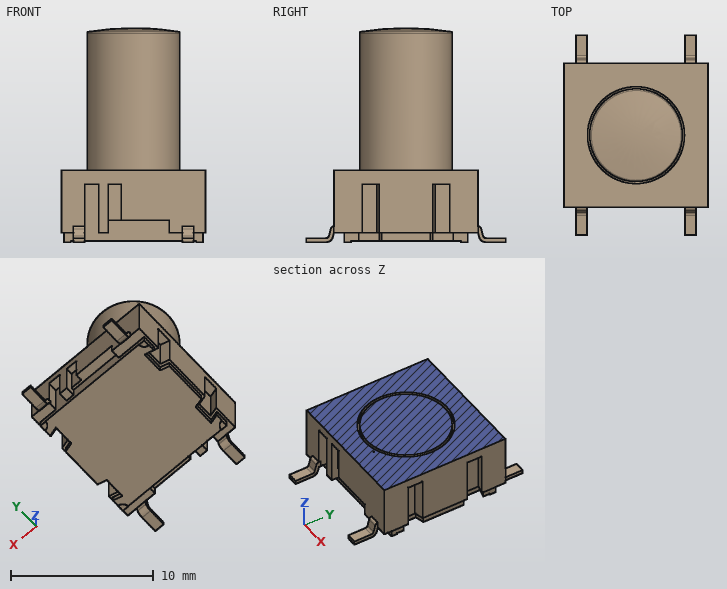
import cadquery as cq
import math

TOTAL_HEIGHT = 15.0

BODY_SIDE = 10.1
BODY_BOTTOM = 0.66
BODY_TOP = 5.05

BASE_X = 9.75
BASE_Y = 8.67
FOOT_HEIGHT = 0.08
FOOT_RADIUS = 0.5
BASE_SLOT_INNER_Y = 1.68
BASE_SLOT_WIDTH = 1.62

BUTTON_DIAMETER = 6.5
HOLE_DIAMETER = 6.8
HOLE_DEPTH = 0.6
DOME_HEIGHT = 0.25
BUTTON_EDGE_ROUND = 0.1

RECESS_TOP = 4.06
DEEP_SLOT_X = (-3.42, -2.42)
WIDE_POCKET_X = (-1.75, 2.49)
WIDE_POCKET_TOP = 1.56
SHALLOW_SLOT_X = (WIDE_POCKET_X[0], -0.85)
SHALLOW_SLOT_DEPTH = 0.51

SIDE_SLOT_INNER_Y = 1.86
SIDE_SLOT_WIDTH = 1.18
SIDE_SLOT_DEPTH = 0.7
SIDE_SLOT_SLANT = 15.0

LEAD_SPACING = 7.62
LEAD_WIDTH = 0.8
LEAD_THICKNESS = 0.3
LEAD_SPAN = 14.0
LEAD_SLANT = 15.0
LEAD_BEND_RADIUS = 0.2
LEAD_SHOULDER_RADIUS = 0.22
LEAD_SHOULDER_CENTRE_Z = 0.9
LEAD_EMBED = 0.15

BODY_HALF = BODY_SIDE / 2
LEAD_SIDE_DEPTH = (BODY_SIDE - BASE_Y) / 2
HALF_TURN = 180


def box(x_range, y_range, z_range):
    """Axis-aligned box given by its limits along each axis."""
    size = [limits[1] - limits[0] for limits in (x_range, y_range, z_range)]
    corner = (x_range[0], y_range[0], z_range[0])
    return cq.Workplane("XY").box(*size, centered=False).translate(corner)


def both_sides(shape):
    """The shape together with its copy turned half a turn about Z."""
    return shape.union(shape.rotate((0, 0, 0), (0, 0, 1), HALF_TURN))


def lead_side_recess(x_range, depth, top):
    """Recess cut into the -Y face of the housing, open at the bottom."""
    return box(x_range, (-BODY_HALF, depth - BODY_HALF), (BODY_BOTTOM, top))


def side_slots(face, inner_y, width, bottom, top):
    """Pair of slots in the -X side that slant outward as they go in."""
    shift = SIDE_SLOT_DEPTH * math.tan(math.radians(SIDE_SLOT_SLANT))
    outer_y = inner_y + width
    floor = SIDE_SLOT_DEPTH - face
    slot = (
        cq.Workplane("XY", origin=(0, 0, bottom))
        .polyline([(-face, inner_y), (-face, outer_y), (floor, outer_y + shift), (floor, inner_y + shift)])
        .close()
        .extrude(top - bottom)
    )
    return slot.union(slot.mirror("XZ"))


def make_body():
    limits = (-BODY_HALF, BODY_HALF)
    body = box(limits, limits, (BODY_BOTTOM, BODY_TOP))
    recesses = (
        lead_side_recess(DEEP_SLOT_X, LEAD_SIDE_DEPTH, RECESS_TOP)
        .union(lead_side_recess(SHALLOW_SLOT_X, SHALLOW_SLOT_DEPTH, RECESS_TOP))
        .union(lead_side_recess(WIDE_POCKET_X, LEAD_SIDE_DEPTH, WIDE_POCKET_TOP))
        .union(side_slots(BODY_HALF, SIDE_SLOT_INNER_Y, SIDE_SLOT_WIDTH, BODY_BOTTOM, RECESS_TOP))
    )
    hole = (
        cq.Workplane("XY", origin=(0, 0, BODY_TOP - HOLE_DEPTH))
        .circle(HOLE_DIAMETER / 2)
        .extrude(HOLE_DEPTH)
    )
    return body.cut(both_sides(recesses)).cut(hole)


def make_base():
    half_x = BASE_X / 2
    half_y = BASE_Y / 2
    base = box((-half_x, half_x), (-half_y, half_y), (0, BODY_BOTTOM))

    feet = (
        cq.Workplane("XY")
        .rect(BASE_X, BASE_Y, forConstruction=True)
        .vertices()
        .circle(FOOT_RADIUS)
        .extrude(FOOT_HEIGHT)
    )
    relief = box((-half_x, half_x), (-half_y, half_y), (0, FOOT_HEIGHT)).cut(feet)

    slots = side_slots(half_x, BASE_SLOT_INNER_Y, BASE_SLOT_WIDTH, 0, BODY_BOTTOM)
    return base.cut(relief).cut(both_sides(slots))


def make_button():
    radius = BUTTON_DIAMETER / 2
    dome_radius = radius - BUTTON_EDGE_ROUND
    dome_edge_z = TOTAL_HEIGHT - DOME_HEIGHT
    sphere_radius = (dome_radius**2 + DOME_HEIGHT**2) / (2 * DOME_HEIGHT)
    dome_mid_x = dome_radius / 2
    dome_mid_z = TOTAL_HEIGHT - sphere_radius + math.sqrt(sphere_radius**2 - dome_mid_x**2)
    floor = BODY_TOP - HOLE_DEPTH
    return (
        cq.Workplane("XZ")
        .moveTo(0, floor)
        .lineTo(radius, floor)
        .lineTo(radius, dome_edge_z - BUTTON_EDGE_ROUND)
        .radiusArc((dome_radius, dome_edge_z), -BUTTON_EDGE_ROUND)
        .threePointArc((dome_mid_x, dome_mid_z), (0, TOTAL_HEIGHT))
        .close()
        .revolve(axisStart=(0, 0), axisEnd=(0, 1))
    )


def make_lead():
    """Lead on the +Y side: flat foot, slanted riser and rounded shoulder."""
    cos_slant = math.cos(math.radians(LEAD_SLANT))
    sin_slant = math.sin(math.radians(LEAD_SLANT))
    tip = LEAD_SPAN / 2
    outer_radius = LEAD_BEND_RADIUS + LEAD_THICKNESS
    shoulder_top = LEAD_SHOULDER_CENTRE_Z + LEAD_SHOULDER_RADIUS

    bend_z = outer_radius
    rise = LEAD_SHOULDER_CENTRE_Z - bend_z
    bend_y = BODY_HALF + (LEAD_SHOULDER_RADIUS + LEAD_BEND_RADIUS + rise * sin_slant) / cos_slant

    def bend_point(radius):
        return (bend_y - radius * cos_slant, bend_z - radius * sin_slant)

    shoulder_end = (
        BODY_HALF + LEAD_SHOULDER_RADIUS * cos_slant,
        LEAD_SHOULDER_CENTRE_Z + LEAD_SHOULDER_RADIUS * sin_slant,
    )
    riser_y, riser_z = bend_point(outer_radius)
    riser_meets_body = riser_y - (BODY_BOTTOM - riser_z) * sin_slant / cos_slant
    embedded_y = BODY_HALF - LEAD_EMBED
    return (
        cq.Workplane("YZ", origin=(-LEAD_WIDTH / 2, 0, 0))
        .moveTo(bend_y, 0)
        .lineTo(tip, 0)
        .lineTo(tip, LEAD_THICKNESS)
        .lineTo(bend_y, LEAD_THICKNESS)
        .radiusArc(bend_point(LEAD_BEND_RADIUS), LEAD_BEND_RADIUS)
        .lineTo(*shoulder_end)
        .radiusArc((BODY_HALF, shoulder_top), -LEAD_SHOULDER_RADIUS)
        .lineTo(embedded_y, shoulder_top)
        .lineTo(embedded_y, BODY_BOTTOM)
        .lineTo(riser_meets_body, BODY_BOTTOM)
        .lineTo(riser_y, riser_z)
        .radiusArc((bend_y, 0), -outer_radius)
        .close()
        .extrude(LEAD_WIDTH)
    )


result = make_body().union(make_base()).union(make_button())
for lead_x in (-LEAD_SPACING / 2, LEAD_SPACING / 2):
    result = result.union(both_sides(make_lead().translate((lead_x, 0, 0))))